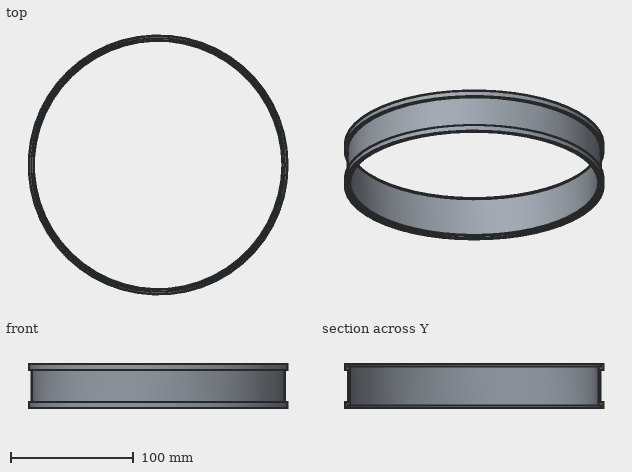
import cadquery as cq

rim_diameter = 211.0
wall_diameter = 206.7
bore_diameter = 202.7
height = 36.0
rim_height = 5.0

recess_diameter = wall_diameter
recess_depth = 2.0


def disc(diameter, base_z, thickness):
    """Solid disc centred on the Z axis, rising from base_z."""
    return cq.Workplane("XY").workplane(offset=base_z).circle(diameter / 2).extrude(thickness)


body = disc(wall_diameter, 0, height)
for base_z in (0, height - rim_height):
    body = body.union(disc(rim_diameter, base_z, rim_height))

body = body.cut(disc(bore_diameter, 0, height))

for base_z in (0, height - recess_depth):
    body = body.cut(disc(recess_diameter, base_z, recess_depth))

result = body